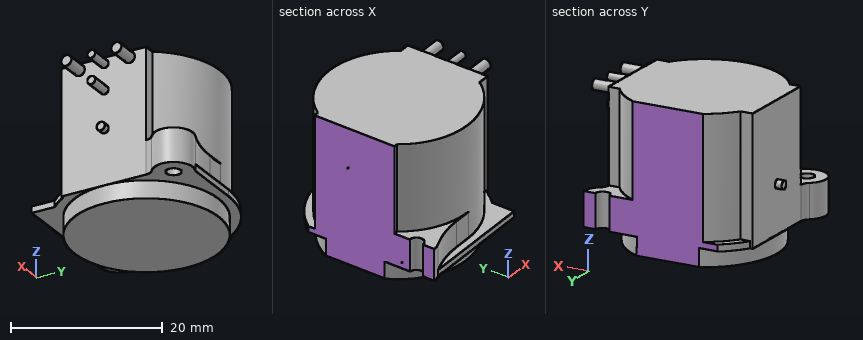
import cadquery as cq
import math

total_height = 21.5
spigot_height = 2.65
flange_thickness = 1.0
lug_height = 5.1
body_height = total_height - spigot_height

body_radius = 11.3
half_width = 11.0
block_far_edge = 6.6
spigot_radius = half_width

bolt_circle_radius = 14.0
lug_offset = bolt_circle_radius * math.sqrt(0.5)
lug_radius = 2.9
lug_hole_diameter = 2.1
neck_radius = 1.5
sweep_radius = 15.0

flange_radius = 12.5
flange_corner_x = 8.75

contact_diameter = 1.6
small_contact_diameter = 1.2
contact_length = 3.5
contact_spacing = 3.82
contact_row_z = body_height - 0.98
lower_contact_z = 14.0
locating_pin_diameter = 1.25
locating_pin_length = 1.0
right_locating_pin_z = 8.3
left_locating_pin_z = 7.1

pins = [
    (1, contact_spacing, contact_row_z, contact_diameter, contact_length),
    (1, 0, contact_row_z, small_contact_diameter, contact_length),
    (1, -contact_spacing, contact_row_z, contact_diameter, contact_length),
    (1, 0, lower_contact_z, small_contact_diameter, contact_length),
    (1, 0, right_locating_pin_z, locating_pin_diameter, locating_pin_length),
    (-1, 0, left_locating_pin_z, locating_pin_diameter, locating_pin_length),
]

neck_x = -half_width - neck_radius
neck_y = -lug_offset + math.sqrt((neck_radius + lug_radius) ** 2 - (neck_x + lug_offset) ** 2)

sweep_y = -body_radius - sweep_radius
sweep_x = -lug_offset + math.sqrt((sweep_radius + lug_radius) ** 2 - (sweep_y + lug_offset) ** 2)


def toward(center, target, distance):
    """Point at a distance from center in the direction of target."""
    angle = math.atan2(target[1] - center[1], target[0] - center[0])
    return center[0] + distance * math.cos(angle), center[1] + distance * math.sin(angle)


def arc_middle(center, start, end, radius):
    """Middle point of the shorter arc about center from start to end."""
    chord_middle = ((start[0] + end[0]) / 2, (start[1] + end[1]) / 2)
    return toward(center, chord_middle, radius)


def half_turn(shape):
    """Copy of the shape turned 180 degrees about the Z axis."""
    return shape.rotate((0, 0, 0), (0, 0, 1), 180)


def make_block():
    """Flat-sided block on the -X side; its near edge starts where the lug neck ends."""
    return (
        cq.Workplane("XY")
        .moveTo(-half_width, neck_y)
        .lineTo(0, neck_y)
        .lineTo(0, block_far_edge)
        .lineTo(-half_width, block_far_edge)
        .close()
        .extrude(body_height)
    )


def make_housing():
    """Round housing cut flat at X = +/- half_width."""
    flat_sided_limit = cq.Workplane("XY").rect(2 * half_width, 2 * body_radius).extrude(body_height)
    return cq.Workplane("XY").circle(body_radius).extrude(body_height).intersect(flat_sided_limit)


def make_lug():
    """Lug at the -X -Y corner, blended into the flat face and the round housing."""
    lug_center = (-lug_offset, -lug_offset)
    neck_center = (neck_x, neck_y)
    neck_start = (-half_width, neck_y)
    neck_end = toward(lug_center, neck_center, lug_radius)
    lug_outermost = toward((0, 0), lug_center, bolt_circle_radius + lug_radius)
    sweep_center = (sweep_x, sweep_y)
    sweep_start = toward(lug_center, sweep_center, lug_radius)
    sweep_end = (sweep_x, -body_radius)
    return (
        cq.Workplane("XY")
        .moveTo(*neck_start)
        .threePointArc(arc_middle(neck_center, neck_start, neck_end, neck_radius), neck_end)
        .threePointArc(lug_outermost, sweep_start)
        .threePointArc(arc_middle(sweep_center, sweep_start, sweep_end, sweep_radius), sweep_end)
        .lineTo(0, -body_radius)
        .lineTo(0, neck_y)
        .close()
        .extrude(lug_height)
    )


def make_flange():
    """Thin plate: rounded at the -X +Y corner, square at the +X -Y corner."""
    axis = (0, 0)
    block_corner_x = math.sqrt(flange_radius**2 - block_far_edge**2)
    lug_meeting_x = lug_offset - math.sqrt(lug_radius**2 - (flange_radius - lug_offset) ** 2)

    round_start = (-block_corner_x, block_far_edge)
    round_end = (0, flange_radius)
    rounded_side = (
        cq.Workplane("XY")
        .moveTo(*round_start)
        .threePointArc(arc_middle(axis, round_start, round_end, flange_radius), round_end)
        .lineTo(lug_meeting_x, flange_radius)
        .lineTo(lug_offset, lug_offset)
        .lineTo(*axis)
        .close()
        .extrude(flange_thickness)
    )

    corner_start = (block_corner_x, -block_far_edge)
    corner_end = (flange_corner_x, -math.sqrt(flange_radius**2 - flange_corner_x**2))
    square_side = (
        cq.Workplane("XY")
        .moveTo(*corner_start)
        .threePointArc(arc_middle(axis, corner_start, corner_end, flange_radius), corner_end)
        .lineTo(flange_corner_x, -flange_radius)
        .lineTo(-lug_meeting_x, -flange_radius)
        .lineTo(-lug_offset, -lug_offset)
        .lineTo(*axis)
        .close()
        .extrude(flange_thickness)
    )
    return rounded_side.union(square_side)


def make_pin(direction, y, z, diameter, length):
    """Round pin standing out of a flat face along +X or -X."""
    return (
        cq.Workplane("YZ", origin=(0, y, z))
        .circle(diameter / 2)
        .extrude(direction * (half_width + length))
    )


def make_lug_holes():
    """Through holes in both lugs."""
    return (
        cq.Workplane("XY")
        .pushPoints([(-lug_offset, -lug_offset), (lug_offset, lug_offset)])
        .circle(lug_hole_diameter / 2)
        .extrude(lug_height)
    )


spigot = cq.Workplane("XY").circle(spigot_radius).extrude(-spigot_height)
result = make_housing().union(spigot).union(make_flange())
for shape in (make_block(), make_lug()):
    result = result.union(shape).union(half_turn(shape))
for pin in pins:
    result = result.union(make_pin(*pin))
result = result.cut(make_lug_holes())